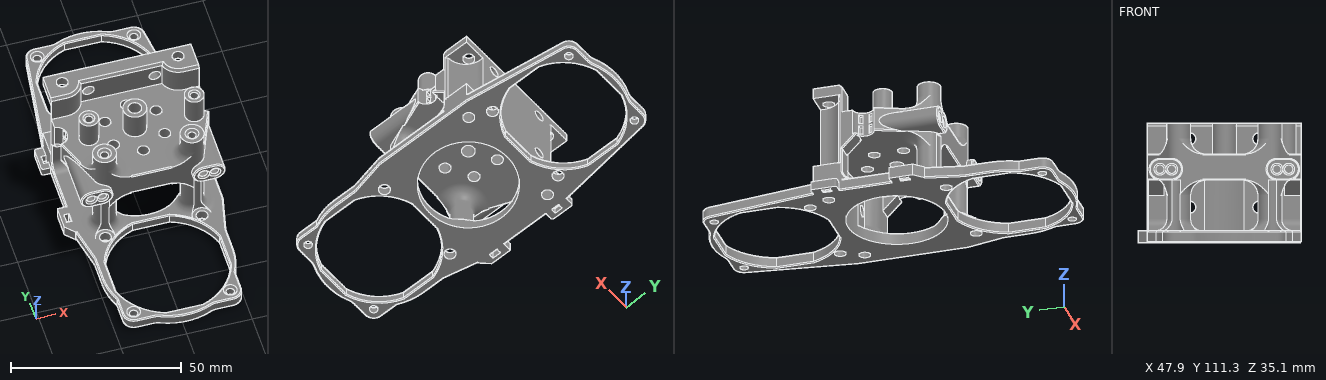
import cadquery as cq
import math

LENGTH = 111.3
HEIGHT = 35.1
HALF_WIDTH = 22.6
TAB_REACH = 2.7
EDGE_BREAK = 0.3

BASE_T = 3.6
FAN_Y = 35.6
FAN_HOLE_PITCH = 29.5
FAN_RIM_R = LENGTH / 2 - FAN_Y
FAN_OPENING_D = 36.7
FAN_OPENING_FLATS = 35.0
CORNER_R = 3.3
RIM_BLEND_R = 4.5
SIDE_FRONT_Y = -16.1
SHOULDER_Y = -27.8

WALL_BACK_Y = 17.6
WALL_THIN_Y = 12.7
BOSS_R = 5.6
BOSS_X = 17.7
BOSS_Y = 14.3
WALL_FRONT_Y = BOSS_Y - BOSS_R
WALL_CHAMFER = 0.8
BASE_FILLET = 3.3
POCKET_R = 6.9
POCKET_X = 22.2
POCKET_Y = 16.8
POCKET_LIP = 0.7
POCKET_Z = (9.2, 31.8)
WALL_HOLE_X = 10.1
WALL_HOLE_Z = (10.5, 30.5)

PLATE_Z = (18.4, 26.0)
PLATE_T = PLATE_Z[1] - PLATE_Z[0]
PLATE_Y = -1.1
HUB_OPENING_D = 30.0
HOLE_CIRCLE_R = 9.0
GUSSET = 4.5
NOTCH_R = 3.3
NOTCH_X = 23.0
NOTCH_Y = 2.2
TIE_SLOT = (1.7, 1.1, 2.7)
TIE_SLOT_PITCH_Y = 3.0
TIE_SLOT_PITCH_Z = 3.6

PILLAR_X = 13.4
PILLAR_Y = -15.1
PILLAR_D = 7.0
PLATE_FLARE = 4.5
POST_X = (-14.0, 18.1)
POST_D = 5.8
CENTER_POST_D = 7.0
CENTER_HOLE_D = 4.0
SOCKET_X = 17.1
SOCKET_Z = 21.6
SOCKET_PITCH = 3.5
SOCKET_D = 6.3
SOCKET_Y = (-20.5, -2.2)

REAR_TAB_FRONT_Y = 9.6
REAR_TAB_T = 2.7
REAR_TAB_CORNER_R = 0.7
REAR_SLOT_Y = (11.8, 14.5)
FRONT_TAB_BACK_Y = -6.6
FRONT_TAB_FRONT_Y = -13.8
FRONT_TAB_ROOT_Y = -16.6
FRONT_SLOT_Y = (-12.2, -9.4)
TAB_RIM = 1.2

CLEAR_D = 3.5
TAP_D = 2.5
TAP_DEPTH = 8.9
LEAD_IN_D = 4.0
HEAD_D = 5.8

SIDES = (-1, 1)
PLATE_FRONT_Y = PILLAR_Y - PILLAR_D / 2
HALF_PITCH = FAN_HOLE_PITCH / 2


def cylinder(x, y, z0, z1, d):
    """Vertical cylinder between two heights."""
    return cq.Workplane("XY", (x, y, z0)).circle(d / 2).extrude(z1 - z0)


def box(x, y, z):
    """Block spanning three (low, high) ranges."""
    size = [high - low for low, high in (x, y, z)]
    return cq.Workplane("XY").box(*size, centered=False).translate((x[0], y[0], z[0]))


def tapped_hole(x, y, top, depth, lead_in_d):
    """Narrow hole drilled down from `top`, with a 45 degree lead-in."""
    lead = (lead_in_d - TAP_D) / 2
    cone = cq.Solid.makeCone(TAP_D / 2, lead_in_d / 2, lead, cq.Vector(x, y, top - lead))
    return cylinder(x, y, top - depth, top, TAP_D).union(cq.Workplane(cone))


def right_tangent(point, center, radius):
    """Touch point, on the +X side, of the line from `point` to a circle."""
    dx, dy = point[0] - center[0], point[1] - center[1]
    toward_point = math.atan2(dy, dx)
    spread = math.acos(radius / math.hypot(dx, dy))
    touches = [
        (center[0] + radius * math.cos(toward_point + s * spread),
         center[1] + radius * math.sin(toward_point + s * spread))
        for s in SIDES
    ]
    return max(touches)


def with_mirror(right_half):
    """Join a solid on the +X side with its mirror image."""
    return right_half.union(right_half.mirror("YZ"))


def fan_opening(y):
    """Round opening trimmed by four flats."""
    round_cut = cylinder(0, y, 0, HEIGHT, FAN_OPENING_D)
    flats = cq.Workplane("XY", (0, y, 0)).rect(FAN_OPENING_FLATS, FAN_OPENING_FLATS).extrude(HEIGHT)
    return round_cut.intersect(flats)


def make_base():
    """Flat frame with a fan mount at each end."""
    corner_y = FAN_Y + HALF_PITCH
    edge_y = corner_y + CORNER_R
    corner_x = HALF_PITCH + CORNER_R
    rim_x = math.sqrt(FAN_RIM_R**2 - (edge_y - FAN_Y) ** 2)
    rim_y = math.sqrt(FAN_RIM_R**2 - corner_x**2)
    taper = right_tangent((HALF_WIDTH, WALL_BACK_Y), (HALF_PITCH, corner_y), CORNER_R)
    diagonal = math.sqrt(0.5)
    arc_x = HALF_PITCH + CORNER_R * diagonal
    arc_y = corner_y + CORNER_R * diagonal
    end_angle = math.asin(rim_x / FAN_RIM_R) / 2
    end_mid = (FAN_RIM_R * math.sin(end_angle), FAN_Y + FAN_RIM_R * math.cos(end_angle))
    side_angle = math.asin(rim_y / FAN_RIM_R) / 2
    side_mid = (FAN_RIM_R * math.cos(side_angle), -FAN_Y - FAN_RIM_R * math.sin(side_angle))
    half = (
        cq.Workplane("XY")
        .moveTo(0, LENGTH / 2)
        .threePointArc(end_mid, (rim_x, edge_y))
        .lineTo(HALF_PITCH, edge_y)
        .threePointArc((arc_x, arc_y), taper)
        .lineTo(HALF_WIDTH, WALL_BACK_Y)
        .lineTo(HALF_WIDTH, SIDE_FRONT_Y)
        .lineTo(FAN_RIM_R, SHOULDER_Y)
        .lineTo(FAN_RIM_R, -FAN_Y)
        .threePointArc(side_mid, (corner_x, -FAN_Y - rim_y))
        .lineTo(corner_x, -corner_y)
        .threePointArc((arc_x, -arc_y), (HALF_PITCH, -edge_y))
        .lineTo(rim_x, -edge_y)
        .threePointArc((end_mid[0], -end_mid[1]), (0, -LENGTH / 2))
        .close()
        .extrude(BASE_T)
    )
    base = with_mirror(half)
    for s in SIDES:
        for e in SIDES:
            corner = cq.selectors.NearestToPointSelector((s * rim_x, e * edge_y, BASE_T / 2))
            base = base.edges("|Z").edges(corner).fillet(RIM_BLEND_R)
    base = base.cut(fan_opening(FAN_Y)).cut(fan_opening(-FAN_Y))
    return base.faces("<Z or >Z").chamfer(EDGE_BREAK)


def make_wall():
    """Upright wall, thick at both ends and thin between them."""
    thin_x = BOSS_X - math.sqrt(BOSS_R**2 - (BOSS_Y - WALL_THIN_Y) ** 2)
    diagonal = BOSS_R * math.sqrt(0.5)
    half = (
        cq.Workplane("XY")
        .moveTo(0, WALL_BACK_Y)
        .lineTo(HALF_WIDTH, WALL_BACK_Y)
        .lineTo(HALF_WIDTH, WALL_FRONT_Y)
        .lineTo(BOSS_X, WALL_FRONT_Y)
        .threePointArc((BOSS_X - diagonal, BOSS_Y - diagonal), (thin_x, WALL_THIN_Y))
        .lineTo(0, WALL_THIN_Y)
        .close()
        .extrude(HEIGHT)
    )
    front_edges = cq.selectors.BoxSelector(
        (-HALF_WIDTH + 1.1, WALL_FRONT_Y - 1.1, HEIGHT - 1.1),
        (HALF_WIDTH - 1.1, WALL_THIN_Y + 1.1, HEIGHT + 1.1),
    )
    return with_mirror(half).edges(front_edges).chamfer(WALL_CHAMFER)


def make_wall_with_foot():
    """Wall with a fillet between the front of its thick ends and the base."""
    slab = box((-HALF_WIDTH, HALF_WIDTH), (PLATE_Y, WALL_BACK_Y), (0, BASE_T))
    body = make_wall().union(slab)
    for s in SIDES:
        x_range = sorted((s * (HALF_WIDTH - 1.1), s * (BOSS_X - BOSS_R)))
        foot = cq.selectors.BoxSelector(
            (x_range[0], WALL_FRONT_Y - 1.1, BASE_T - 0.1),
            (x_range[1], WALL_THIN_Y - 0.1, BASE_T + 0.1),
        )
        body = body.edges(foot).fillet(BASE_FILLET)
    above_base = box((-HALF_WIDTH, HALF_WIDTH), (PLATE_Y, WALL_BACK_Y), (BASE_T, HEIGHT))
    wall_root = box((-HALF_WIDTH, HALF_WIDTH), (WALL_FRONT_Y, WALL_BACK_Y), (EDGE_BREAK, BASE_T))
    return body.intersect(above_base.union(wall_root))


def bevel_window(body):
    """Break the outer edges of the side windows between base, wall and plate."""
    for s in SIDES:
        x_range = sorted((s * (HALF_WIDTH - 0.1), s * (HALF_WIDTH + 0.1)))
        rim = cq.selectors.BoxSelector(
            (x_range[0], WALL_FRONT_Y - GUSSET, BASE_T + 0.1),
            (x_range[1], WALL_FRONT_Y + 0.1, PLATE_Z[0] - 0.1),
        )
        body = body.edges(rim).chamfer(EDGE_BREAK)
    return body


def plate_outline():
    """Closed outline of the right half of the plate."""
    start = (HALF_WIDTH, PLATE_Y)
    touch = right_tangent(start, (PILLAR_X, PILLAR_Y), PILLAR_D / 2)
    middle = math.atan2(touch[1] - PILLAR_Y, touch[0] - PILLAR_X) / 2 - math.pi / 4
    arc_mid = (
        PILLAR_X + PILLAR_D / 2 * math.cos(middle),
        PILLAR_Y + PILLAR_D / 2 * math.sin(middle),
    )
    return (
        cq.Workplane("XY")
        .moveTo(0, WALL_BACK_Y)
        .lineTo(HALF_WIDTH, WALL_BACK_Y)
        .lineTo(*start)
        .lineTo(*touch)
        .threePointArc(arc_mid, (PILLAR_X, PLATE_FRONT_Y))
        .lineTo(0, PLATE_FRONT_Y)
        .close()
    )


def make_plate():
    """Raised plate with its front and slanted edges broken."""
    plate = with_mirror(plate_outline().extrude(PLATE_T)).translate((0, 0, PLATE_Z[0]))
    rim = cq.selectors.BoxSelector(
        (-HALF_WIDTH - 1.1, PLATE_FRONT_Y - 1.1, 0),
        (HALF_WIDTH + 1.1, PLATE_Y, HEIGHT),
    )
    return plate.faces("<Z or >Z").edges(rim).chamfer(EDGE_BREAK)


def make_gussets():
    """45 degree wedges under the plate, at both ends of the wall."""
    z = PLATE_Z[0]
    wedge = (
        cq.Workplane("YZ", (BOSS_X, 0, 0))
        .polyline([
            (WALL_FRONT_Y - GUSSET, z),
            (WALL_FRONT_Y, z - GUSSET),
            (WALL_BACK_Y - BOSS_R, z - GUSSET),
            (WALL_BACK_Y - BOSS_R, z),
        ])
        .close()
        .extrude(HALF_WIDTH - BOSS_X)
    )
    return with_mirror(wedge)


def flare(z, radius, upward):
    """Concave trumpet around a pillar, widest where it meets a face at z."""
    r = PILLAR_D / 2
    tip = z + upward * radius
    bend = radius * (1 - math.sqrt(0.5))
    return (
        cq.Workplane("XZ")
        .moveTo(0, z)
        .lineTo(r + radius, z)
        .threePointArc((r + bend, z + upward * bend), (r, tip))
        .lineTo(0, tip)
        .close()
        .revolve(360, (0, 0, 0), (0, 1, 0))
        .translate((PILLAR_X, PILLAR_Y, 0))
    )


def make_pillars():
    """Front pillars, flared at the base and on both faces of the plate."""
    plate_shadow = plate_outline().extrude(HEIGHT)
    flares = flare(PLATE_Z[1], PLATE_FLARE, 1).union(flare(PLATE_Z[0], PLATE_FLARE, -1))
    pillar = cylinder(PILLAR_X, PILLAR_Y, 0, HEIGHT, PILLAR_D)
    collar = cylinder(PILLAR_X, PILLAR_Y, *PLATE_Z, PILLAR_D + 2 * PLATE_FLARE)
    pillar = pillar.union(flares.union(collar).intersect(plate_shadow))
    foot = flare(BASE_T, BASE_FILLET, 1)
    pillar = pillar.union(foot.cut(cylinder(0, PLATE_Y, 0, HEIGHT, HUB_OPENING_D)))
    below_plate = box((0, LENGTH / 2), (-LENGTH / 2, 0), (0, PLATE_Z[0]))
    pillar = pillar.cut(fan_opening(-FAN_Y).intersect(below_plate))
    head_clearance = cylinder(HALF_PITCH, HALF_PITCH - FAN_Y, BASE_T, PLATE_Z[0], HEAD_D)
    return with_mirror(pillar.cut(head_clearance))


def make_posts():
    """Center post and two smaller posts on top of the plate."""
    posts = cylinder(0, PLATE_Y, PLATE_Z[0], HEIGHT, CENTER_POST_D)
    for x in POST_X:
        posts = posts.union(cylinder(x, PLATE_Y, PLATE_Z[1] - EDGE_BREAK, HEIGHT, POST_D))
    return posts


def make_sockets():
    """Flat-oval arms beside the pillars."""
    arm = (
        cq.Workplane("XZ", (SOCKET_X, SOCKET_Y[0], SOCKET_Z))
        .slot2D(SOCKET_PITCH + SOCKET_D, SOCKET_D)
        .extrude(SOCKET_Y[0] - SOCKET_Y[1])
        .faces("<Y")
        .chamfer(EDGE_BREAK)
    )
    return with_mirror(arm)


def socket_holes():
    """Pair of holes drilled into the front end of each arm."""
    drill = tapped_hole(0, 0, 0, TAP_DEPTH, CLEAR_D).rotate((0, 0, 0), (1, 0, 0), 90)
    pair = cq.Workplane("XY")
    for s in SIDES:
        x = SOCKET_X + s * SOCKET_PITCH / 2
        pair = pair.add(drill.translate((x, SOCKET_Y[0], SOCKET_Z)))
    return with_mirror(pair.combine())


def make_tabs():
    """Slotted cable tabs on the left side of the base."""
    outer = -HALF_WIDTH - TAB_REACH
    inner = -HALF_WIDTH + 1.1
    slot_x = (outer + TAB_RIM, -HALF_WIDTH + 0.1)
    rear = box((outer, inner), (REAR_TAB_FRONT_Y, WALL_BACK_Y), (0, REAR_TAB_T))
    rear = rear.edges("|Z and <X").fillet(REAR_TAB_CORNER_R)
    rear = rear.cut(box(slot_x, REAR_SLOT_Y, (0, BASE_T)))
    front = (
        cq.Workplane("XY")
        .polyline([
            (inner, FRONT_TAB_BACK_Y),
            (outer, FRONT_TAB_BACK_Y),
            (outer, FRONT_TAB_FRONT_Y),
            (-HALF_WIDTH, FRONT_TAB_ROOT_Y),
            (inner, FRONT_TAB_ROOT_Y),
        ])
        .close()
        .extrude(BASE_T)
    )
    front = front.cut(box(slot_x, FRONT_SLOT_Y, (0, BASE_T)))
    return rear.union(front)


def cut_wall_pockets(body):
    """Scoop a round recess from each rear end of the wall and bevel its lip."""
    lip_y = POCKET_Y - math.sqrt(POCKET_R**2 - (POCKET_X - HALF_WIDTH) ** 2)
    for s in SIDES:
        body = body.cut(cylinder(s * POCKET_X, POCKET_Y, *POCKET_Z, 2 * POCKET_R))
        lip = cq.selectors.NearestToPointSelector((s * HALF_WIDTH, lip_y, sum(POCKET_Z) / 2))
        body = body.edges("|Z").edges(lip).chamfer(POCKET_LIP)
    return body


result = make_base().union(make_wall_with_foot())
result = result.union(make_plate()).union(make_gussets())
result = bevel_window(result)
result = result.cut(cylinder(0, PLATE_Y, 0, PLATE_Z[0], HUB_OPENING_D))
result = cut_wall_pockets(result)
for addition in (make_pillars(), make_posts(), make_sockets(), make_tabs()):
    result = result.union(addition)
result = result.cut(socket_holes())

for s in SIDES:
    for e in SIDES:
        outer_y = e * (FAN_Y + HALF_PITCH)
        inner_y = e * (FAN_Y - HALF_PITCH)
        result = result.cut(tapped_hole(s * HALF_PITCH, outer_y, BASE_T, BASE_T, LEAD_IN_D))
        result = result.cut(cylinder(s * HALF_PITCH, inner_y, 0, BASE_T, CLEAR_D))

for s in SIDES:
    result = result.cut(cylinder(s * BOSS_X, BOSS_Y, 0, HEIGHT, CLEAR_D))
    for z in WALL_HOLE_Z:
        bore = cq.Workplane("XZ", (s * WALL_HOLE_X, WALL_BACK_Y, z)).circle(CLEAR_D / 2)
        result = result.cut(bore.extrude(WALL_BACK_Y - WALL_FRONT_Y))

for i in range(6):
    angle = math.radians(90 + 60 * i)
    x = HOLE_CIRCLE_R * math.cos(angle)
    y = PLATE_Y + HOLE_CIRCLE_R * math.sin(angle)
    result = result.cut(cylinder(x, y, *PLATE_Z, CLEAR_D))
result = result.cut(cylinder(0, PLATE_Y, PLATE_Z[0], HEIGHT, CENTER_HOLE_D))
for s in SIDES:
    result = result.cut(tapped_hole(s * PILLAR_X, PILLAR_Y, HEIGHT, TAP_DEPTH, LEAD_IN_D))
for x in POST_X:
    result = result.cut(tapped_hole(x, PLATE_Y, HEIGHT, TAP_DEPTH, CLEAR_D))

slot_center_z = sum(PLATE_Z) / 2
for s in SIDES:
    result = result.cut(cylinder(s * NOTCH_X, NOTCH_Y, *PLATE_Z, 2 * NOTCH_R))
    for i in SIDES:
        for j in SIDES:
            slot = cq.Workplane("XY").box(*TIE_SLOT).translate((
                s * (NOTCH_X - NOTCH_R),
                NOTCH_Y + i * TIE_SLOT_PITCH_Y / 2,
                slot_center_z + j * TIE_SLOT_PITCH_Z / 2,
            ))
            result = result.cut(slot)